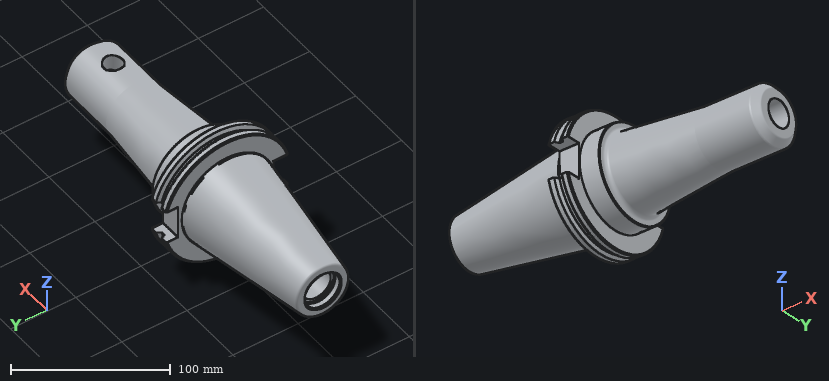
import cadquery as cq
import math

total_length = 254.0
taper_end = 102.5
shoulder_start = 103.5
flange_start = 104.1
flange_thickness = 16.3
flange_end = flange_start + flange_thickness
collar_end = 136.5
nose_start = 204.0

gauge_diameter = 70.0
shoulder_diameter = 69.9
collar_diameter = 70.0
flange_diameter = 97.0
neck_diameter = 56.5
nose_diameter = 44.5

taper_ratio = 7 / 24
small_end_diameter = gauge_diameter - taper_ratio * taper_end

small_end_radius = 1.8
flange_chamfer = 0.8
collar_chamfer = 0.5
neck_fillet = 3.0
nose_chamfer = 5.0
nose_edge_radius = 1.8

groove_start = flange_start + 5.0
groove_depth = 3.0
groove_floor_width = 2.8
groove_wall_run = groove_depth * math.tan(math.radians(30))

slot_width = 25.7
slot_floor_front = 35.5
slot_floor_back = 37.8

mouth_chamfer = 1.0
pilot_diameter = 26.7
pilot_depth = 5.5
clearance_diameter = 26.2
clearance_depth = 7.0
thread_diameter = 21.8
thread_depth = 38.0
thread_relief_diameter = 20.0
thread_relief_depth = 45.7
through_diameter = 19.0
tool_diameter = 20.0
tool_bore_depth = 61.0

screw_diameter = 14.2
screw_position = 227.9


def revolve_about_x(profile):
    return profile.close().revolve(360, (0, 0, 0), (1, 0, 0))


def bore(start, length, diameter):
    return cq.Workplane("YZ", origin=(start, 0, 0)).circle(diameter / 2).extrude(length)


def make_body():
    flange_radius = flange_diameter / 2
    collar_radius = collar_diameter / 2
    neck_radius = neck_diameter / 2
    profile = (
        cq.Workplane("XY")
        .moveTo(0, 0)
        .lineTo(0, small_end_diameter / 2)
        .lineTo(taper_end, gauge_diameter / 2)
        .lineTo(shoulder_start, shoulder_diameter / 2)
        .lineTo(flange_start, shoulder_diameter / 2)
        .lineTo(flange_start, flange_radius - flange_chamfer)
        .lineTo(flange_start + flange_chamfer, flange_radius)
        .lineTo(flange_end - flange_chamfer, flange_radius)
        .lineTo(flange_end, flange_radius - flange_chamfer)
        .lineTo(flange_end, collar_radius)
        .lineTo(collar_end - collar_chamfer, collar_radius)
        .lineTo(collar_end, collar_radius - collar_chamfer)
        .lineTo(collar_end, neck_radius + neck_fillet)
        .radiusArc((collar_end + neck_fillet, neck_radius), -neck_fillet)
        .lineTo(nose_start, nose_diameter / 2)
        .lineTo(total_length - nose_chamfer, nose_diameter / 2)
        .lineTo(total_length, nose_diameter / 2 - nose_chamfer)
        .lineTo(total_length, 0)
    )
    selection_margin = 0.3
    nose_edges = cq.selectors.BoxSelector(
        (total_length - nose_chamfer - selection_margin, -nose_diameter, -nose_diameter),
        (total_length + selection_margin, nose_diameter, nose_diameter),
    )
    body = revolve_about_x(profile)
    body = body.faces("<X").edges().fillet(small_end_radius)
    return body.edges(nose_edges).edges("%CIRCLE").fillet(nose_edge_radius)


def make_gripper_groove():
    outer_radius = flange_diameter / 2
    floor_radius = outer_radius - groove_depth
    floor_start = groove_start + groove_wall_run
    floor_end = floor_start + groove_floor_width
    profile = (
        cq.Workplane("XY")
        .moveTo(groove_start, outer_radius)
        .lineTo(floor_start, floor_radius)
        .lineTo(floor_end, floor_radius)
        .lineTo(floor_end + groove_wall_run, outer_radius)
    )
    return revolve_about_x(profile)


def make_drive_slot(side, floor_distance):
    slot_depth = flange_diameter / 2 - floor_distance
    middle = (flange_start + flange_end) / 2
    slot = cq.Workplane("XY").box(flange_thickness, slot_depth, slot_width)
    return slot.translate((middle, side * (floor_distance + slot_depth / 2), 0))


def make_axial_bores():
    mouth_radius = pilot_diameter / 2 + mouth_chamfer
    mouth = revolve_about_x(
        cq.Workplane("XY").lineTo(0, mouth_radius).lineTo(mouth_radius, 0)
    )
    return (
        bore(0, total_length, through_diameter)
        .union(bore(0, thread_relief_depth, thread_relief_diameter))
        .union(bore(0, thread_depth, thread_diameter))
        .union(bore(0, clearance_depth, clearance_diameter))
        .union(bore(0, pilot_depth, pilot_diameter))
        .union(mouth)
        .union(bore(total_length - tool_bore_depth, tool_bore_depth, tool_diameter))
    )


def make_screw_hole():
    return (
        cq.Workplane("XY", origin=(screw_position, 0, 0))
        .circle(screw_diameter / 2)
        .extrude(nose_diameter)
    )


result = (
    make_body()
    .cut(make_gripper_groove())
    .cut(make_drive_slot(-1, slot_floor_front))
    .cut(make_drive_slot(1, slot_floor_back))
    .cut(make_axial_bores())
    .cut(make_screw_hole())
)